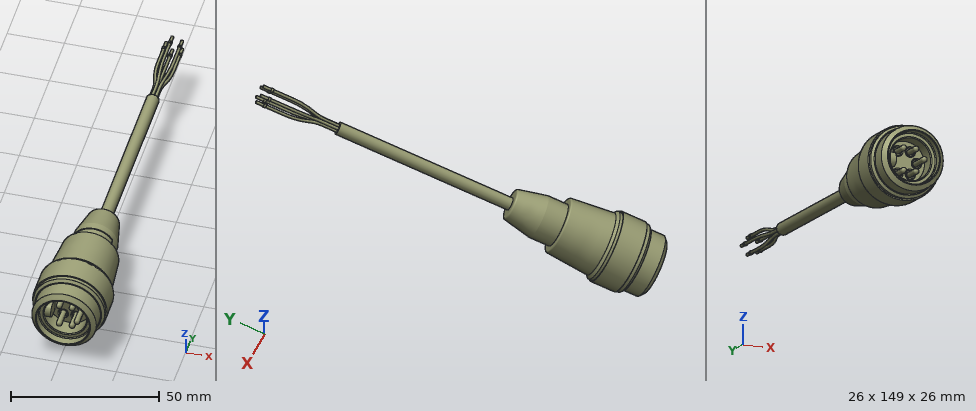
import cadquery as cq
import math

WIRE_END_Y = 149.0

NOSE_DIAMETER = 19.2
RIM_EDGE_DIAMETER = 20.0
RIM_EDGE_Y = 0.3
RIM_LEAD_Y = 1.5
RIM_DIAMETER = 22.5
COLLAR_FRONT_DIAMETER = 23.2
COLLAR_FRONT_Y = 7.0
SHOULDER_DIAMETER = 25.0
FRONT_SHOULDER_Y = 7.9
COLLAR_DIAMETER = 26.0
COLLAR_START_Y = 9.2
COLLAR_END_Y = 18.2
REAR_SHOULDER_Y = 19.2
BODY_FRONT_DIAMETER = 23.0
BODY_FRONT_Y = 20.3
BODY_REAR_DIAMETER = 20.1
BODY_REAR_Y = 36.4
BODY_FILLET = 0.6
GRIP_DIAMETER = 15.5
GRIP_END_Y = 43.7
TAIL_DIAMETER = 11.0
TAIL_END_Y = 54.4
TAIL_FILLET = 0.7

LABEL_WIDTH = 13.1
LABEL_START_Y = 38.0
LABEL_END_Y = 41.0
LABEL_DEPTH = 0.3

BORE_DIAMETER = 18.5
BORE_CHAMFER_Y = 2.7
LEDGE_DIAMETER = 17.7
LEDGE_Y = 3.0
MOUTH_DIAMETER = 15.5
SOCKET_DIAMETER = 14.8
SOCKET_START_Y = 3.3
SOCKET_FLOOR_Y = 9.0

PIN_CIRCLE_RADIUS = 4.5
PIN_ANGLES = (-120, -60, 0, 60, 120)
PIN_DIAMETER = 2.0
PIN_TIP_Y = 2.7
LONG_PIN_ANGLE = 0
LONG_PIN_TIP_Y = 0.7
PIN_HOLE_DIAMETER = 3.0
PIN_HOLE_DEPTH = 0.7
COUNTERSINK_DIAMETER = 3.7
COUNTERSINK_DEPTH = 0.37

KEY_INNER_X = -5.0
KEY_WIDTH = 4.9
KEY_TIP_Y = 3.0

CABLE_DIAMETER = 4.5
CABLE_END_Y = 119.3
WIRE_COUNT = 5
WIRE_DIAMETER = 1.06
BUNDLE_RADIUS = 1.0
FAN_RADIUS = 6.1 / 2
BUNDLE_END_Y = 124.7
BEND_CHANGE_Y = 129.3
FAN_START_Y = 137.7
BAND_DIAMETER = 1.4
BAND_START_Y = 145.3
BAND_END_Y = 146.2

OVERLAP = 0.7


def turned(profile):
    """Solid of revolution about the Y axis from (diameter, Y) points."""
    points = [(diameter / 2, y) for diameter, y in profile]
    return cq.Workplane("XY").polyline(points).close().revolve(360, (0, 0, 0), (0, 1, 0))


def rod(start_y, end_y, diameter, x=0.0, z=0.0):
    """Cylinder parallel to Y."""
    return turned([(0, start_y), (diameter, start_y), (diameter, end_y), (0, end_y)]).translate((x, 0, z))


def make_shell():
    """Outside of the plug, with its two rear edges rounded."""
    front = turned([
        (0, 0),
        (NOSE_DIAMETER, 0),
        (RIM_EDGE_DIAMETER, RIM_EDGE_Y),
        (RIM_DIAMETER, RIM_LEAD_Y),
        (RIM_DIAMETER, COLLAR_FRONT_Y),
        (COLLAR_FRONT_DIAMETER, COLLAR_FRONT_Y),
        (SHOULDER_DIAMETER, FRONT_SHOULDER_Y),
        (SHOULDER_DIAMETER, COLLAR_START_Y),
        (COLLAR_DIAMETER, COLLAR_START_Y),
        (COLLAR_DIAMETER, COLLAR_END_Y),
        (SHOULDER_DIAMETER, COLLAR_END_Y),
        (SHOULDER_DIAMETER, REAR_SHOULDER_Y),
        (BODY_FRONT_DIAMETER, BODY_FRONT_Y),
        (BODY_REAR_DIAMETER, BODY_REAR_Y),
        (0, BODY_REAR_Y),
    ])
    rear = turned([
        (0, LEDGE_Y),
        (GRIP_DIAMETER, LEDGE_Y),
        (GRIP_DIAMETER, GRIP_END_Y),
        (TAIL_DIAMETER, TAIL_END_Y),
        (0, TAIL_END_Y),
    ])
    front = front.faces(">Y").edges().fillet(BODY_FILLET)
    rear = rear.faces(">Y").edges().fillet(TAIL_FILLET)
    return front.union(rear)


def make_label_recess():
    """Curved window of even depth, with upright ends."""
    length = LABEL_END_Y - LABEL_START_Y
    window = (cq.Workplane("XY")
              .box(LABEL_WIDTH, length, GRIP_DIAMETER, centered=(True, False, False))
              .translate((0, LABEL_START_Y, 0)))
    return window.cut(rod(LABEL_START_Y, LABEL_END_Y, GRIP_DIAMETER - 2 * LABEL_DEPTH))


def make_socket():
    """Stepped cavity with a chamfer at the foot of the bore and at the mouth of the well."""
    return turned([
        (0, 0),
        (BORE_DIAMETER, 0),
        (BORE_DIAMETER, BORE_CHAMFER_Y),
        (LEDGE_DIAMETER, LEDGE_Y),
        (MOUTH_DIAMETER, LEDGE_Y),
        (SOCKET_DIAMETER, SOCKET_START_Y),
        (SOCKET_DIAMETER, SOCKET_FLOOR_Y),
        (0, SOCKET_FLOOR_Y),
    ])


def make_pin(x, z, tip_y):
    """Pin with a domed tip, reaching back to the bottom of its hole."""
    radius = PIN_DIAMETER / 2
    dome = cq.Workplane("XY").sphere(radius).translate((x, tip_y + radius, z))
    return rod(tip_y + radius, SOCKET_FLOOR_Y + PIN_HOLE_DEPTH, PIN_DIAMETER, x, z).union(dome)


def make_pin_hole(x, z):
    """Countersunk hole in the socket floor around a pin."""
    return turned([
        (0, SOCKET_FLOOR_Y),
        (COUNTERSINK_DIAMETER, SOCKET_FLOOR_Y),
        (PIN_HOLE_DIAMETER, SOCKET_FLOOR_Y + COUNTERSINK_DEPTH),
        (PIN_HOLE_DIAMETER, SOCKET_FLOOR_Y + PIN_HOLE_DEPTH),
        (0, SOCKET_FLOOR_Y + PIN_HOLE_DEPTH),
    ]).translate((x, 0, z))


def make_key():
    """Key with a flat inner side and a half-round front end, following the socket wall."""
    wall_x = -SOCKET_DIAMETER / 2
    half_width = KEY_WIDTH / 2
    blank = (cq.Workplane("YZ", origin=(wall_x, 0, 0))
             .moveTo(SOCKET_FLOOR_Y, half_width)
             .lineTo(KEY_TIP_Y + half_width, half_width)
             .threePointArc((KEY_TIP_Y, 0), (KEY_TIP_Y + half_width, -half_width))
             .lineTo(SOCKET_FLOOR_Y, -half_width)
             .close()
             .extrude(KEY_INNER_X - wall_x))
    return blank.intersect(rod(KEY_TIP_Y, SOCKET_FLOOR_Y, SOCKET_DIAMETER))


def make_wire(angle):
    """Wire that bends outward and straight again in a radial plane, with a band near its end."""
    start_y = CABLE_END_Y - OVERLAP
    first_bend_share = (BEND_CHANGE_Y - BUNDLE_END_Y) / (FAN_START_Y - BUNDLE_END_Y)
    change_radius = BUNDLE_RADIUS + (FAN_RADIUS - BUNDLE_RADIUS) * first_bend_share
    path = (cq.Workplane("XY")
            .moveTo(BUNDLE_RADIUS, start_y)
            .lineTo(BUNDLE_RADIUS, BUNDLE_END_Y)
            .tangentArcPoint((change_radius, BEND_CHANGE_Y), relative=False)
            .tangentArcPoint((FAN_RADIUS, FAN_START_Y), relative=False)
            .lineTo(FAN_RADIUS, WIRE_END_Y))
    wire = (cq.Workplane("XZ", origin=(BUNDLE_RADIUS, start_y, 0))
            .circle(WIRE_DIAMETER / 2)
            .sweep(path))
    band = rod(BAND_START_Y, BAND_END_Y, BAND_DIAMETER, FAN_RADIUS)
    return wire.union(band).rotate((0, 0, 0), (0, 1, 0), angle)


result = make_shell().cut(make_label_recess()).cut(make_socket())

for pin_angle in PIN_ANGLES:
    pin_x = PIN_CIRCLE_RADIUS * math.cos(math.radians(pin_angle))
    pin_z = PIN_CIRCLE_RADIUS * math.sin(math.radians(pin_angle))
    pin_tip_y = LONG_PIN_TIP_Y if pin_angle == LONG_PIN_ANGLE else PIN_TIP_Y
    result = result.cut(make_pin_hole(pin_x, pin_z)).union(make_pin(pin_x, pin_z, pin_tip_y))
result = result.union(make_key())

result = result.union(rod(TAIL_END_Y - OVERLAP, CABLE_END_Y, CABLE_DIAMETER))
for wire_index in range(WIRE_COUNT):
    result = result.union(make_wire(180 + wire_index * 360 / WIRE_COUNT))